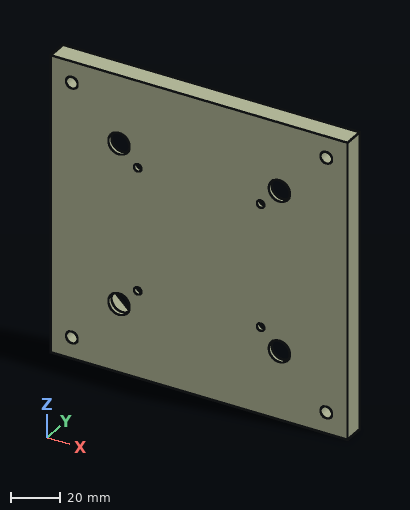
import cadquery as cq

plate_side = 140.0
plate_thickness = 10.0

corner_hole_spacing = 120.0
corner_hole_diameter = 5.5
large_hole_spacing = 75.6
large_hole_diameter = 10.0
small_hole_spacing = 58.0
small_hole_diameter = 3.4

recess_diameter = 120.0
web_thickness = 2.5
recess_depth = plate_thickness - web_thickness


def drill_square_pattern(plate, spacing, diameter):
    """Drill four through holes at the corners of a centred square."""
    return (
        plate.faces("<Y")
        .workplane(centerOption="CenterOfBoundBox")
        .rarray(spacing, spacing, 2, 2)
        .hole(diameter)
    )


def cut_rear_recess(plate):
    """Sink the centred round recess into the +Y face."""
    return (
        plate.faces(">Y")
        .workplane(centerOption="CenterOfBoundBox")
        .circle(recess_diameter / 2)
        .cutBlind(-recess_depth)
    )


result = cq.Workplane("XY").box(plate_side, plate_thickness, plate_side)
result = drill_square_pattern(result, corner_hole_spacing, corner_hole_diameter)
result = drill_square_pattern(result, large_hole_spacing, large_hole_diameter)
result = drill_square_pattern(result, small_hole_spacing, small_hole_diameter)
result = cut_rear_recess(result)